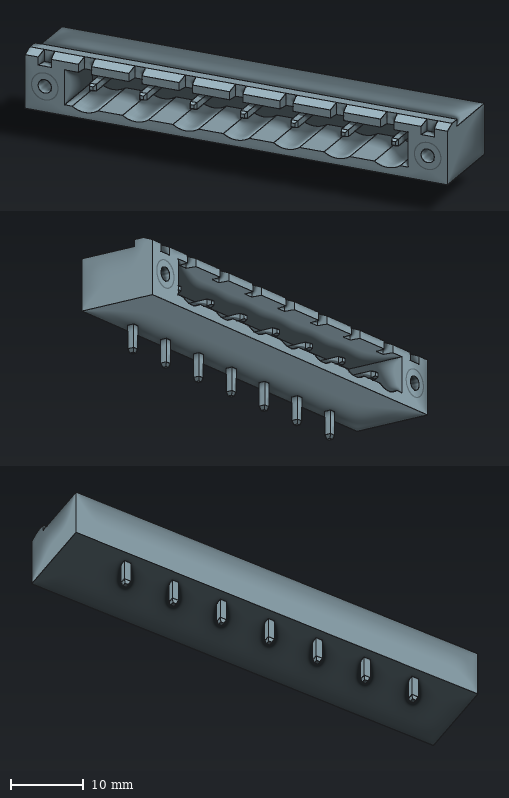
import cadquery as cq


pole_count = 7
pitch = 7.62
flange_offset = 6.1
end_margin = 3.0
pole_positions = [(i - (pole_count - 1) / 2) * pitch for i in range(pole_count)]
flange_x = pole_positions[-1] + flange_offset
flange_positions = [-flange_x, flange_x]

housing_length = 2 * (flange_x + end_margin)
housing_depth = 12.0
housing_height = 8.6
rear_height = 7.6
lip_depth = 3.1
lip_chamfer_depth = 1.5
lip_chamfer_drop = 0.6

cavity_end_wall = 6.0
cavity_length = housing_length - 2 * cavity_end_wall
cavity_depth = 9.0
cavity_floor_z = 1.6
cavity_roof_z = 6.8
scallop_width = 3.9
scallop_sag = 0.6

notch_front_width = 2.0
notch_back_width = 1.55
notch_depth = lip_chamfer_depth

insert_diameter = 4.0
insert_hole_diameter = 2.0
insert_depth = 8.0
axis_z = 3.8

pin_width = 1.0
pin_tip_width = 0.6
pin_tip_length = 0.6
solder_pin_length = 4.0
solder_pin_setback = 2.0
solder_pin_y = housing_depth - solder_pin_setback
contact_tip_y = 2.0


def make_housing():
    """Stepped profile with a chamfered front lip, extruded along X."""
    profile = [
        (0, 0),
        (housing_depth, 0),
        (housing_depth, rear_height),
        (lip_depth, rear_height),
        (lip_depth, housing_height),
        (lip_chamfer_depth, housing_height),
        (0, housing_height - lip_chamfer_drop),
    ]
    return cq.Workplane("YZ").polyline(profile).close().extrude(housing_length / 2, both=True)


def make_cavity():
    """Plug cavity whose floor dips in an arc below each pole."""
    half_length = cavity_length / 2
    half_scallop = scallop_width / 2
    outline = cq.Workplane("XZ").moveTo(-half_length, cavity_roof_z).lineTo(-half_length, cavity_floor_z)
    for x in pole_positions:
        outline = outline.lineTo(x - half_scallop, cavity_floor_z)
        outline = outline.threePointArc(
            (x, cavity_floor_z - scallop_sag),
            (x + half_scallop, cavity_floor_z),
        )
    outline = outline.lineTo(half_length, cavity_floor_z).lineTo(half_length, cavity_roof_z)
    return outline.close().extrude(-cavity_depth)


def make_notch(x):
    """Coding notch, narrowing towards the back, cut down to the cavity roof."""
    half_front = notch_front_width / 2
    half_back = notch_back_width / 2
    plan = [
        (x - half_front, 0),
        (x + half_front, 0),
        (x + half_back, notch_depth),
        (x - half_back, notch_depth),
    ]
    base = cq.Workplane("XY").workplane(offset=cavity_roof_z)
    return base.polyline(plan).close().extrude(housing_height - cavity_roof_z)


def make_flange_cylinder(x, diameter):
    """Cylinder on a flange screw axis, running back from the mating face."""
    return cq.Workplane("XZ").center(x, axis_z).circle(diameter / 2).extrude(-insert_depth)


def make_insert(x):
    """Bushing flush with the mating face, with a blind bore."""
    return make_flange_cylinder(x, insert_diameter).cut(make_flange_cylinder(x, insert_hole_diameter))


def make_pin_leg(tip, direction, length):
    """Square pin running from its tapered tip along the given direction."""
    plane = cq.Plane(origin=tip, xDir=(1, 0, 0), normal=direction)
    taper = (
        cq.Workplane(plane)
        .rect(pin_tip_width, pin_tip_width)
        .workplane(offset=pin_tip_length)
        .rect(pin_width, pin_width)
        .loft(ruled=True)
    )
    shank = (
        cq.Workplane(plane)
        .workplane(offset=pin_tip_length)
        .rect(pin_width, pin_width)
        .extrude(length - pin_tip_length)
    )
    return taper.union(shank)


def make_pin(x):
    """Angled pin: contact leg along Y and solder leg along Z."""
    contact_leg = make_pin_leg((x, contact_tip_y, axis_z), (0, 1, 0), solder_pin_y - contact_tip_y)
    solder_leg = make_pin_leg((x, solder_pin_y, -solder_pin_length), (0, 0, 1), solder_pin_length + axis_z)
    return contact_leg.union(solder_leg)


result = make_housing().cut(make_cavity())

for notch_x in pole_positions + flange_positions:
    result = result.cut(make_notch(notch_x))

for pole_x in pole_positions:
    result = result.union(make_pin(pole_x))

for insert_x in flange_positions:
    result = result.cut(make_flange_cylinder(insert_x, insert_diameter), clean=False)
    result = result.union(make_insert(insert_x), clean=False)